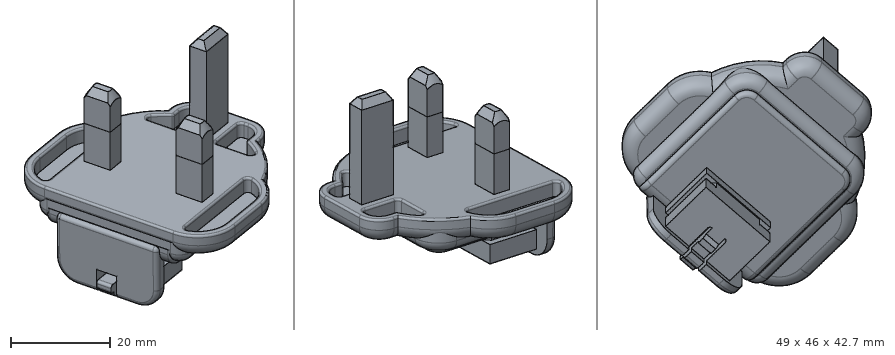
import cadquery as cq
import math


PLATE_WIDTH = 49.0
PLATE_FRONT_Y = -14.55
PLATE_BOTTOM_Z = -5.5
LOBE_BACK_Y = 13.3
LOBE_CORNER_RADIUS = 9.0
DOME_RADIUS = 20.8
DOME_CENTRE_Y = 5.85
TAB_WIDTH = 21.55
TAB_BACK_Y = 29.65
TAB_FRONT_Y = 9.8
TAB_CORNER_RADIUS = 5.0
FACE_EDGE_RADIUS = 0.5
UNDERSIDE_RADIUS = 3.15

POCKET_DEPTH = 3.5
POCKET_WALL = 2.0
DOME_POCKET_WALL = 1.85
POCKET_TAPER_DEGREES = 3.0
POCKET_CORNER_RADIUS = 1.0
POCKET_NOTCH_RADIUS = 0.65
LOBE_POCKET_INNER_X = 16.35
TAB_POCKET_INNER_X = 3.85
TAB_POCKET_FRONT_Y = 18.3

UPPER_TIER_HALF_WIDTH = 18.05
UPPER_TIER_BACK_Y = 20.3
UPPER_TIER_TOP_Z = -2.65
UPPER_TIER_BOTTOM_Z = -7.8
UPPER_TIER_BACK_RADIUS = 6.0
UPPER_TIER_FRONT_RADIUS = 3.15
UPPER_TIER_EDGE_RADIUS = 2.45
TIER_STEP = 2.75
LOWER_TIER_FRONT_Y = -14.6
LOWER_TIER_TOP_Z = -4.65
LOWER_TIER_BOTTOM_Z = -9.05
LOWER_TIER_FRONT_EDGE_RADIUS = 3.25
LOWER_TIER_EDGE_RADIUS = 1.1

PIN_SPACING = 22.15
PIN_WIDTH = 6.3
PIN_THICKNESS = 3.95
SLEEVE_HEIGHT = 9.0
PIN_TOP_Z = 17.6
PIN_TIP_HEIGHT = 1.8
PIN_TIP_FLAT_THICKNESS = 1.6
PIN_END_INSET = 1.2
PIN_END_RADIUS = 4.0

EARTH_WIDTH = 4.0
EARTH_LENGTH = 8.0
EARTH_CENTRE_Y = 22.15
EARTH_TOP_Z = 22.7
EARTH_TIP_HEIGHT = 1.65
EARTH_TIP_FLAT_WIDTH = 1.5
EARTH_TIP_FLAT_LENGTH = 5.95

RAIL_HALF_WIDTH = 8.8
RAIL_BACK_Y = -0.95
RAIL_BOTTOM_Z = -11.8

COVER_WIDTH = 24.5
COVER_TOP_Z = -4.7
COVER_BOTTOM_Z = -19.95
COVER_BACK_Y = -13.0
COVER_FRONT_TOP_Y = -15.55
COVER_FRONT_BOTTOM_Y = -15.3
COVER_CORNER_RADIUS = 5.0
COVER_EDGE_RADIUS = 1.0
COVER_TOP_CORNER_RADIUS = 1.05
BLOCK_BACK_Y = -1.15
BLOCK_BOTTOM_Z = -18.35
GROOVE_BOTTOM_Z = -14.0
GROOVE_DEPTH = 1.45
GROOVE_LEAD_IN = 1.45
SLOT_WIDTH = 4.8
SLOT_TOP_Z = -14.65
SLOT_BACK_Y = -6.85
SLOT_CORNER_RADIUS = 0.65
LATCH_WIDTH = 3.5
LATCH_TOP_Z = -16.6
LATCH_FRONT_Y = -16.35
LATCH_NUB_BOTTOM_Z = -18.65
LATCH_NUB_RADIUS = 0.65
HOOK_BACK_Y = -8.65
HOOK_RAMP_END_Y = -9.55
HOOK_FRONT_Y = -10.95
HOOK_BOTTOM_Z = -19.0


def box(x_min, x_max, y_min, y_max, z_min, z_max):
    """A box between two opposite corners."""
    size = (x_max - x_min, y_max - y_min, z_max - z_min)
    return cq.Workplane("XY").box(*size, centered=False).translate((x_min, y_min, z_min))


def centred_box(width, y_min, y_max, z_min, z_max):
    """A box whose width is shared equally by both sides of X = 0."""
    return box(-width / 2, width / 2, y_min, y_max, z_min, z_max)


def side_profile(points, width):
    """A (Y, Z) outline extruded to a width centred on X = 0."""
    return cq.Workplane("YZ").polyline(points).close().extrude(width / 2, both=True)




def lobe_prism(depth, inset=0.0):
    lobe = centred_box(
        PLATE_WIDTH - 2 * inset, PLATE_FRONT_Y + inset, LOBE_BACK_Y - inset, -depth, 0
    )
    return lobe.edges("|Z").fillet(LOBE_CORNER_RADIUS - inset)


def dome_prism(depth, inset=0.0):
    return cq.Workplane("XY").center(0, DOME_CENTRE_Y).circle(DOME_RADIUS - inset).extrude(-depth)


def tab_prism(depth, inset=0.0):
    tab = centred_box(TAB_WIDTH - 2 * inset, TAB_FRONT_Y, TAB_BACK_Y - inset, -depth, 0)
    return tab.edges("|Z").fillet(TAB_CORNER_RADIUS - inset)


def rounded_plate_part(prism):
    """Rounds the face edge lightly and the underside edge fully."""
    prism = prism.faces(">Z").edges().fillet(FACE_EDGE_RADIUS)
    return prism.faces("<Z").edges().fillet(UNDERSIDE_RADIUS)


def build_plate():
    """Two side lobes in one rounded block, a dome behind it and a tab behind the dome."""
    thickness = -PLATE_BOTTOM_Z
    dome = rounded_plate_part(dome_prism(thickness))
    dome = dome.intersect(centred_box(PLATE_WIDTH, 0, TAB_BACK_Y, PLATE_BOTTOM_Z, 0))
    plate = rounded_plate_part(lobe_prism(thickness)).union(dome)
    return plate.union(rounded_plate_part(tab_prism(thickness)))


def tapered_pocket(outline, limits, inner_edges):
    """Cuts the outline at the limits, rounds the chosen edges and narrows it toward the floor."""
    prism = outline.intersect(limits).edges("|Z").edges(inner_edges).fillet(POCKET_CORNER_RADIUS)
    return prism.faces(">Z").wires().toPending().extrude(-POCKET_DEPTH, taper=POCKET_TAPER_DEGREES)


def lobe_pocket():
    limits = box(
        LOBE_POCKET_INNER_X, PLATE_WIDTH / 2, PLATE_FRONT_Y, LOBE_BACK_Y, -POCKET_DEPTH, 0
    )
    return tapered_pocket(lobe_prism(POCKET_DEPTH, POCKET_WALL), limits, "<X")


def tab_pocket():
    limits = box(
        TAB_POCKET_INNER_X, PLATE_WIDTH / 2, TAB_POCKET_FRONT_Y, TAB_BACK_Y, -POCKET_DEPTH, 0
    )
    dome = dome_prism(POCKET_DEPTH, DOME_POCKET_WALL)
    outline = dome.union(tab_prism(POCKET_DEPTH, POCKET_WALL))
    notch_x = TAB_WIDTH / 2 - POCKET_WALL
    notch_y = DOME_CENTRE_Y + math.sqrt((DOME_RADIUS - DOME_POCKET_WALL) ** 2 - notch_x ** 2)
    notch = cq.NearestToPointSelector((notch_x, notch_y, -POCKET_DEPTH / 2))
    outline = outline.edges("|Z").edges(notch).fillet(POCKET_NOTCH_RADIUS)
    return tapered_pocket(outline, limits, "<X or <Y")


def build_upper_tier():
    tier = centred_box(
        2 * UPPER_TIER_HALF_WIDTH, PLATE_FRONT_Y, UPPER_TIER_BACK_Y, UPPER_TIER_BOTTOM_Z, UPPER_TIER_TOP_Z
    )
    tier = tier.edges("|Z and >Y").fillet(UPPER_TIER_BACK_RADIUS)
    tier = tier.edges("|Z and <Y").fillet(UPPER_TIER_FRONT_RADIUS)
    return tier.faces("<Z").edges().fillet(UPPER_TIER_EDGE_RADIUS)


def build_lower_tier():
    """Follows the upper tier one step further in, with a large round along its front edge."""
    half_width = UPPER_TIER_HALF_WIDTH - TIER_STEP
    back_y = UPPER_TIER_BACK_Y - TIER_STEP
    back_radius = UPPER_TIER_BACK_RADIUS - TIER_STEP
    tier = centred_box(2 * half_width, LOWER_TIER_FRONT_Y, back_y, LOWER_TIER_BOTTOM_Z, LOWER_TIER_TOP_Z)
    tier = tier.edges("|Z and >Y").fillet(back_radius)
    tier = tier.edges("|X and <Y and <Z").fillet(LOWER_TIER_FRONT_EDGE_RADIUS)
    return tier.faces("<Z").edges("not(<Y)").fillet(LOWER_TIER_EDGE_RADIUS)


def build_housing():
    housing = build_plate().union(build_upper_tier()).union(build_lower_tier())
    for pocket in (lobe_pocket(), tab_pocket()):
        housing = housing.cut(pocket).cut(pocket.mirror("YZ"))
    mouths = [edge for wire in housing.faces(">Z").val().innerWires() for edge in wire.Edges()]
    return housing.newObject(mouths).fillet(FACE_EDGE_RADIUS)



def build_sleeve(centre_x):
    sleeve = centred_box(PIN_WIDTH, -PIN_THICKNESS / 2, PIN_THICKNESS / 2, 0, SLEEVE_HEIGHT)
    return sleeve.translate((centre_x, 0, 0))


def build_live_pin(centre_x):
    """The bare end of a live pin: bevelled on two sides, with conical ends."""
    half = PIN_THICKNESS / 2
    half_flat = PIN_TIP_FLAT_THICKNESS / 2
    shoulder_z = PIN_TOP_Z - PIN_TIP_HEIGHT
    pin = side_profile(
        [
            (-half, SLEEVE_HEIGHT), (half, SLEEVE_HEIGHT), (half, shoulder_z),
            (half_flat, PIN_TOP_Z), (-half_flat, PIN_TOP_Z), (-half, shoulder_z),
        ],
        PIN_WIDTH,
    )
    slope = PIN_END_INSET / PIN_TIP_HEIGHT
    base_radius = PIN_END_RADIUS + shoulder_z * slope
    top_radius = PIN_END_RADIUS - PIN_END_INSET
    axis_offset = PIN_END_RADIUS - PIN_WIDTH / 2
    for axis_x in (-axis_offset, axis_offset):
        cone = cq.Solid.makeCone(base_radius, top_radius, PIN_TOP_Z, pnt=cq.Vector(axis_x, 0, 0))
        pin = pin.intersect(cq.Workplane(cone))
    return pin.translate((centre_x, 0, 0))


def build_earth_pin():
    shoulder_z = EARTH_TOP_Z - EARTH_TIP_HEIGHT
    pin = cq.Workplane("XY").rect(EARTH_WIDTH, EARTH_LENGTH).extrude(shoulder_z)
    tip = (
        cq.Workplane("XY", origin=(0, 0, shoulder_z))
        .rect(EARTH_WIDTH, EARTH_LENGTH)
        .workplane(offset=EARTH_TIP_HEIGHT)
        .rect(EARTH_TIP_FLAT_WIDTH, EARTH_TIP_FLAT_LENGTH)
        .loft(ruled=True)
    )
    return pin.union(tip).translate((0, EARTH_CENTRE_Y, 0))



def build_rail():
    return centred_box(
        2 * RAIL_HALF_WIDTH, COVER_BACK_Y, RAIL_BACK_Y, RAIL_BOTTOM_Z, LOWER_TIER_BOTTOM_Z
    )



def build_cover():
    """Rounded front plate, leaning slightly forward at its top."""
    cover = side_profile(
        [
            (COVER_BACK_Y, COVER_TOP_Z), (COVER_FRONT_TOP_Y, COVER_TOP_Z),
            (COVER_FRONT_BOTTOM_Y, COVER_BOTTOM_Z), (COVER_BACK_Y, COVER_BOTTOM_Z),
        ],
        COVER_WIDTH,
    )
    cover = cover.edges("|Y and <Z").fillet(COVER_CORNER_RADIUS)
    cover = cover.edges("|Y and >Z").fillet(COVER_TOP_CORNER_RADIUS)
    return cover.faces("<Y").edges().fillet(COVER_EDGE_RADIUS)


def side_groove():
    """Groove along the +X side of the block, widening toward its back end."""
    outer_x = RAIL_HALF_WIDTH
    floor_x = RAIL_HALF_WIDTH - GROOVE_DEPTH
    return (
        cq.Workplane("XY", origin=(0, 0, GROOVE_BOTTOM_Z))
        .polyline(
            [
                (outer_x, COVER_BACK_Y), (floor_x, COVER_BACK_Y),
                (floor_x, BLOCK_BACK_Y - GROOVE_LEAD_IN),
                (floor_x - GROOVE_LEAD_IN, BLOCK_BACK_Y), (outer_x, BLOCK_BACK_Y),
            ]
        )
        .close()
        .extrude(RAIL_BOTTOM_Z - GROOVE_BOTTOM_Z)
    )


def build_latch():
    """Tongue standing free in the slot, with a finger nub in front and a ramped hook below."""
    tongue = centred_box(LATCH_WIDTH, COVER_BACK_Y, SLOT_BACK_Y, BLOCK_BOTTOM_Z, LATCH_TOP_Z)
    foot = build_cover().intersect(
        centred_box(LATCH_WIDTH, LATCH_FRONT_Y, COVER_BACK_Y, COVER_BOTTOM_Z, LATCH_TOP_Z)
    )
    nub = centred_box(LATCH_WIDTH, LATCH_FRONT_Y, COVER_BACK_Y, LATCH_NUB_BOTTOM_Z, LATCH_TOP_Z)
    nub = nub.edges("|X and <Y").fillet(LATCH_NUB_RADIUS)
    hook = side_profile(
        [
            (HOOK_BACK_Y, BLOCK_BOTTOM_Z), (HOOK_RAMP_END_Y, HOOK_BOTTOM_Z),
            (HOOK_FRONT_Y, HOOK_BOTTOM_Z), (HOOK_FRONT_Y, BLOCK_BOTTOM_Z),
        ],
        LATCH_WIDTH,
    )
    return tongue.union(foot).union(nub).union(hook)


def build_carrier(housing):
    """Cover, grooved block and latch in one piece, with the cover fitted around the housing."""
    block = centred_box(2 * RAIL_HALF_WIDTH, COVER_BACK_Y, BLOCK_BACK_Y, BLOCK_BOTTOM_Z, RAIL_BOTTOM_Z)
    groove = side_groove()
    block = block.cut(groove).cut(groove.mirror("YZ"))
    slot = centred_box(SLOT_WIDTH, LATCH_FRONT_Y, SLOT_BACK_Y, COVER_BOTTOM_Z, SLOT_TOP_Z)
    slot = slot.edges("|Z and >Y").fillet(SLOT_CORNER_RADIUS)
    return build_cover().cut(housing).union(block).cut(slot).union(build_latch())


housing = build_housing()
earth_pin = build_earth_pin()
rail = build_rail()
carrier = build_carrier(housing)
live_pins = []
sleeves = []
for pin_x in (-PIN_SPACING / 2, PIN_SPACING / 2):
    live_pins.append(build_live_pin(pin_x).val())
    sleeves.append(build_sleeve(pin_x).val())

result = cq.Compound.makeCompound(
    [housing.val(), earth_pin.val(), *live_pins, *sleeves, rail.val(), carrier.val()]
)